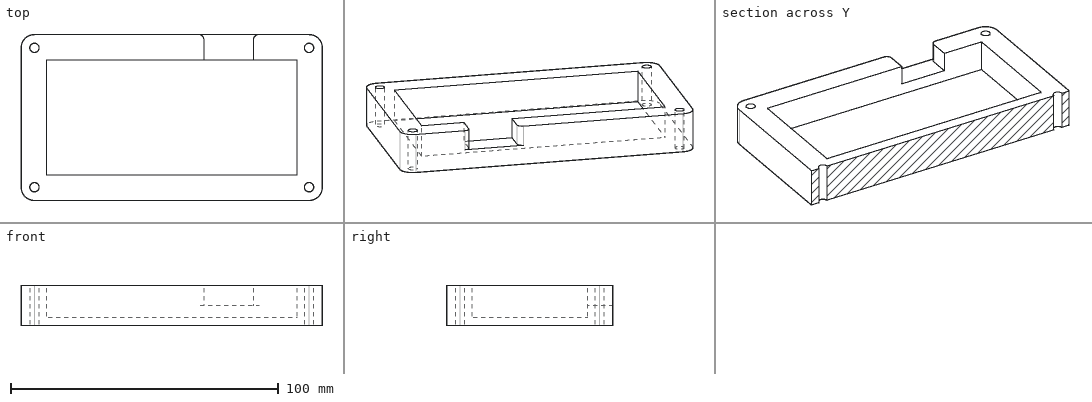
import cadquery as cq

length = 112.5
width = 62.0
height = 15.0
corner_radius = 5.0

wall = 9.5
floor_thickness = 3.0
pocket_length = length - 2 * wall
pocket_width = width - 2 * wall

hole_diameter = 3.4
hole_spacing_x = length - 2 * corner_radius
hole_spacing_y = width - 2 * corner_radius

notch_left = 12.0
notch_width = 18.5
notch_depth = 7.5
mouth_radius = 2.0


def make_block():
    block = cq.Workplane("XY").box(length, width, height, centered=(True, True, False))
    return block.edges("|Z").fillet(corner_radius)


def make_pocket():
    return (
        cq.Workplane("XY")
        .workplane(offset=floor_thickness)
        .rect(pocket_length, pocket_width)
        .extrude(height - floor_thickness)
    )


def make_screw_holes():
    return (
        cq.Workplane("XY")
        .rect(hole_spacing_x, hole_spacing_y, forConstruction=True)
        .vertices()
        .circle(hole_diameter / 2)
        .extrude(height)
    )


def make_notch():
    """Straight channel from the pocket outward, flaring along arcs to the outer face."""
    notch_right = notch_left + notch_width
    inner_y = pocket_width / 2
    outer_y = width / 2
    flare_y = outer_y - mouth_radius
    return (
        cq.Workplane("XY")
        .workplane(offset=height - notch_depth)
        .moveTo(notch_left, inner_y)
        .lineTo(notch_right, inner_y)
        .lineTo(notch_right, flare_y)
        .radiusArc((notch_right + mouth_radius, outer_y), mouth_radius)
        .lineTo(notch_left - mouth_radius, outer_y)
        .radiusArc((notch_left, flare_y), mouth_radius)
        .close()
        .extrude(notch_depth)
    )


result = make_block().cut(make_pocket()).cut(make_screw_holes()).cut(make_notch())